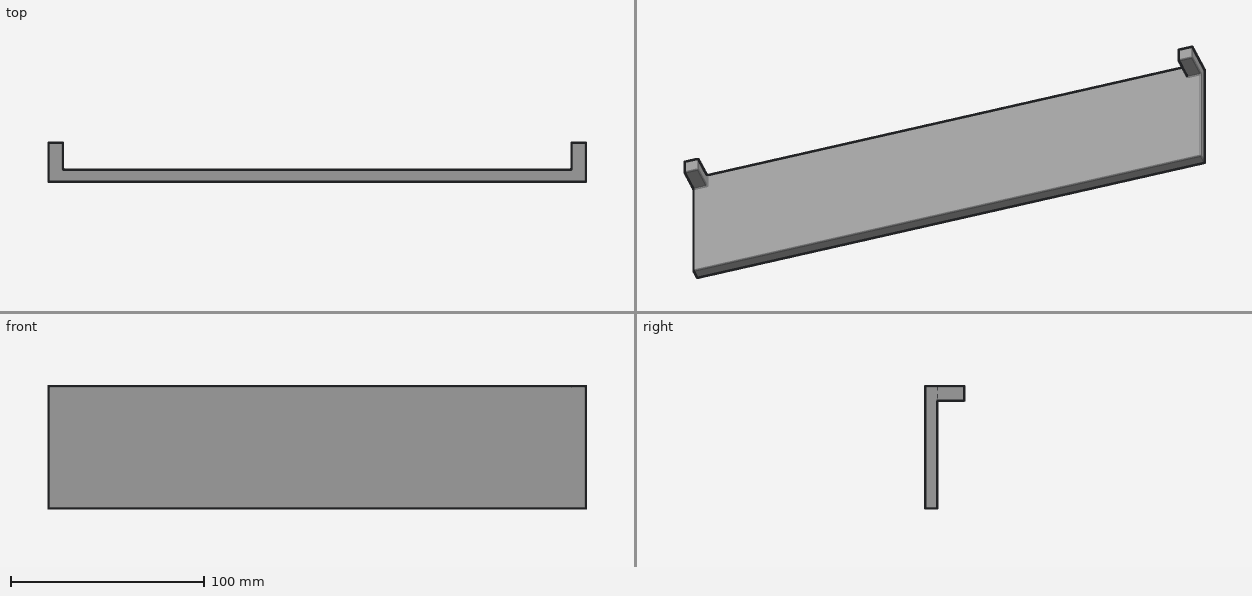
import cadquery as cq

length = 278.0
depth = 20.3
height = 63.5

plate_thickness = 6.5
lug_gap = 262.8
lug_size = (length - lug_gap) / 2
lug_reach = depth - plate_thickness

edge_radius = 0.5


def make_plate():
    """Upright plate with its front face on Y = 0 and its bottom edge on Z = 0."""
    return cq.Workplane("XY").box(length, plate_thickness, height, centered=(True, False, False))


def make_lug(side):
    """Square lug behind a top corner of the plate; side is -1 or +1 along X."""
    center_x = side * (length - lug_size) / 2
    lug = cq.Workplane("XY").box(lug_size, lug_reach, lug_size, centered=(True, False, False))
    return lug.translate((center_x, plate_thickness, height - lug_size))


body = make_plate()
for side in (-1, 1):
    body = body.union(make_lug(side))

result = body.edges().fillet(edge_radius)